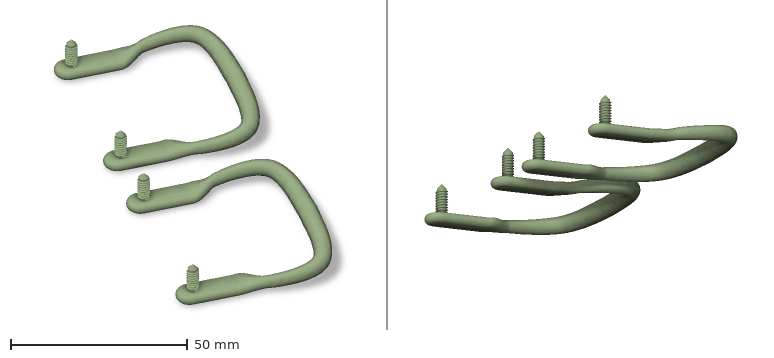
import cadquery as cq
import math

handle_count = 2
handle_pitch = 66.0

pad_spacing = 45.0
pad_width = 8.1
pad_thickness = 2.9
pad_straight_length = 14.1
pad_x = pad_spacing / 2
pad_mid_z = pad_thickness / 2

bow_slope_angle = 6.4
bow_end_x = 25.0
bow_end_y = 22.5
bow_side_x = 25.9
bow_side_y = 30.2
bow_corner_x = 23.6
bow_corner_y = 38.4
bow_shoulder_x = 17.7
bow_shoulder_y = 41.3
bow_middle_y = 42.8
bow_end_radius = 1.8
bow_middle_radius = 2.9
bow_section_count = 11

neck_wide_y = 17.0
neck_wide_x = 22.7
neck_wide_z = 1.7
neck_wide_width = 7.5
neck_wide_height = 3.3
neck_wide_roundness = 0.3
neck_narrow_y = 20.3
neck_narrow_x = 24.0
neck_narrow_z = 2.0
neck_narrow_width = 4.8
neck_narrow_height = 3.7
neck_narrow_roundness = 0.7

screw_y = 1.0
screw_length = 9.0
screw_tip_height = 1.5
thread_major_diameter = 3.5
thread_root_diameter = 2.8
thread_pitch = 0.78
thread_crest_width = 0.1
thread_root_gap = 0.06
thread_embed = 0.1
thread_end_margin = 0.06
thread_major_radius = thread_major_diameter / 2
thread_root_radius = thread_root_diameter / 2


def bow_height(y):
    """Z of the bow's plane, which hinges on the back end of the pads."""
    return pad_mid_z + (y - pad_straight_length) * math.tan(math.radians(bow_slope_angle))


def bow_point(x, y):
    return cq.Vector(x, y, bow_height(y))


def rounded_section(x, y, z, width, height, roundness):
    """Closed wire across Y: a flat slot at roundness 0, an ellipse-like ring at 1."""
    half_width = width / 2
    half_height = height / 2
    diagonal = math.sqrt(0.5)
    corner_x = (1 - roundness) * (half_width - half_height) + roundness * half_width * diagonal
    corner_z = half_height * (1 - roundness + roundness * diagonal)
    plane = cq.Plane(origin=(x, y, z), xDir=(1, 0, 0), normal=(0, -1, 0))
    outline = cq.Workplane(plane).moveTo(-corner_x, -corner_z)
    if roundness == 0:
        outline = outline.lineTo(corner_x, -corner_z)
    else:
        outline = outline.threePointArc((0, -half_height), (corner_x, -corner_z))
    outline = outline.threePointArc((half_width, 0), (corner_x, corner_z))
    if roundness == 0:
        outline = outline.lineTo(-corner_x, corner_z)
    else:
        outline = outline.threePointArc((0, half_height), (-corner_x, corner_z))
    outline = outline.threePointArc((-half_width, 0), (-corner_x, -corner_z))
    return outline.close().val()


def pad_section(y):
    return rounded_section(pad_x, y, pad_mid_z, pad_width, pad_thickness, 0)


def make_pad():
    """Straight bar plus a front end turned from half of the same section."""
    bar_section = pad_section(0)
    bar = cq.Solid.extrudeLinear(bar_section, [], cq.Vector(0, pad_straight_length, 0))
    flat_radius = (pad_width - pad_thickness) / 2
    front_end = (
        cq.Workplane("XZ")
        .lineTo(flat_radius, 0)
        .threePointArc((pad_width / 2, pad_mid_z), (flat_radius, pad_thickness))
        .lineTo(0, pad_thickness)
        .close()
        .revolve(180, (0, 0), (0, -1))
        .translate((pad_x, 0, 0))
    )
    return cq.Workplane(bar).union(front_end)


def make_neck():
    """Smooth change from the flat pad section to the round end of the bow."""
    sections = [
        pad_section(pad_straight_length),
        rounded_section(neck_wide_x, neck_wide_y, neck_wide_z,
                        neck_wide_width, neck_wide_height, neck_wide_roundness),
        rounded_section(neck_narrow_x, neck_narrow_y, neck_narrow_z,
                        neck_narrow_width, neck_narrow_height, neck_narrow_roundness),
        rounded_section(bow_end_x, bow_end_y, bow_height(bow_end_y),
                        2 * bow_end_radius, 2 * bow_end_radius, 1),
    ]
    return cq.Solid.makeLoft(sections)


def make_half_bow():
    """Loft of circles along the bow's centre line, from the neck to the middle."""
    path = cq.Edge.makeSpline([
        bow_point(bow_end_x, bow_end_y),
        bow_point(bow_side_x, bow_side_y),
        bow_point(bow_corner_x, bow_corner_y),
        bow_point(bow_shoulder_x, bow_shoulder_y),
        bow_point(0, bow_middle_y),
    ])
    slope = math.radians(bow_slope_angle)
    plane_normal = cq.Vector(0, -math.sin(slope), math.cos(slope))
    sections = []
    for i in range(bow_section_count):
        fraction = i / (bow_section_count - 1)
        direction = path.tangentAt(fraction)
        if i == 0:
            direction = cq.Vector(0, 1, 0)
        if i == bow_section_count - 1:
            direction = cq.Vector(-1, 0, 0)
        growth = math.sin(fraction * math.pi / 2)
        radius = bow_end_radius + (bow_middle_radius - bow_end_radius) * growth
        plane = cq.Plane(path.positionAt(fraction), plane_normal.cross(direction), direction)
        sections.append(cq.Workplane(plane).circle(radius).wires().val())
    return cq.Solid.makeLoft(sections)


def make_handle():
    half = make_pad().union(cq.Workplane(make_neck())).union(cq.Workplane(make_half_bow()))
    return half.union(half.mirror("YZ"))


def make_screw():
    """Stud with a helical ridge; its foot is at the origin and its tip points up."""
    shank_length = screw_length - screw_tip_height
    core = (
        cq.Workplane("XZ")
        .lineTo(thread_root_radius, 0)
        .lineTo(thread_root_radius, shank_length)
        .lineTo(0, screw_length)
        .close()
        .revolve(360, (0, 0), (0, 1))
    )
    ridge_half = (thread_pitch - thread_root_gap) / 2
    crest_half = thread_crest_width / 2
    ridge_start = ridge_half + thread_end_margin
    helix = cq.Wire.makeHelix(thread_pitch, shank_length - 2 * ridge_start, thread_root_radius)
    ridge = (
        cq.Workplane("XZ")
        .moveTo(thread_root_radius - thread_embed, -ridge_half)
        .lineTo(thread_major_radius, -crest_half)
        .lineTo(thread_major_radius, crest_half)
        .lineTo(thread_root_radius - thread_embed, ridge_half)
        .close()
        .sweep(cq.Workplane(helix), isFrenet=True)
        .translate((0, 0, ridge_start))
    )
    return core.union(ridge)


handle = make_handle().solids().val()
screw = make_screw().solids().val()
bodies = []
for i in range(handle_count):
    handle_x = i * handle_pitch
    bodies.append(handle.translate((handle_x, 0, 0)))
    for side in (-1, 1):
        bodies.append(screw.translate((handle_x + side * pad_x, screw_y, pad_thickness)))

result = cq.Compound.makeCompound(bodies)